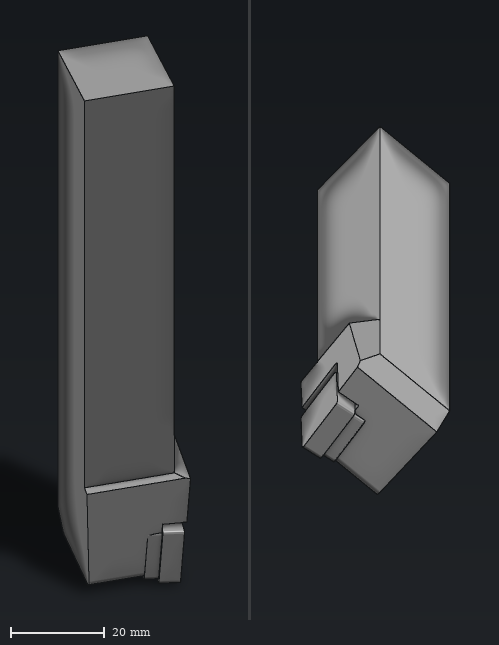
import cadquery as cq
import math

total_width = 25.0
total_length = 125.0
shank_side = 20.0

step_z = 25.4
step_slope = math.tan(math.radians(15))
step_outer_x = 21.9
tip_x = 23.5
tip_z = 1.9
tip_radius = 1.2
chamfer_top_z = 7.5
chamfer_size = 4.1

back_peak_y = 24.6
rake_slope = math.tan(math.radians(5.3))
back_peak_x = back_peak_y - shank_side
back_peak_z = step_z - step_slope * (back_peak_y - shank_side)
block_size = 3 * total_width

insert_angle = 80.0
insert_edge = 12.9
insert_thickness = 4.7
nose_radius = 0.8
nose_y = 20.0
pad_thickness = 3.1
pad_inset = 0.6
pocket_clearance = 1.2


def tilted_plane(origin, offset=0.0):
    """Plane parallel to the rake face; local X runs from the nose into the head."""
    plane = cq.Plane(
        origin=origin,
        xDir=(-1, 2 * rake_slope, 1),
        normal=(rake_slope, 1, -rake_slope),
    )
    return cq.Workplane(plane).workplane(offset=offset)


def rhombic_prism(offset, height, inset=0.0):
    """Rounded rhombus extruded along the rake normal, with its sides moved in by inset."""
    half_angle = math.radians(insert_angle / 2)
    edge = insert_edge - 2 * inset / math.sin(2 * half_angle)
    long_half = edge * math.cos(half_angle)
    short_half = edge * math.sin(half_angle)
    nose_to_center = insert_edge * math.cos(half_angle) - nose_radius / math.sin(half_angle)
    nose_center = (total_width - nose_radius, nose_y, nose_radius)
    return (
        tilted_plane(nose_center, offset)
        .center(nose_to_center, 0)
        .polyline([(-long_half, 0), (0, -short_half), (long_half, 0), (0, short_half)])
        .close()
        .extrude(height)
        .edges(cq.selectors.ParallelDirSelector(cq.Vector(rake_slope, 1, -rake_slope)))
        .fillet(nose_radius)
    )


def make_shank():
    return cq.Workplane("XY").box(shank_side, shank_side, total_length, centered=False)


def make_head():
    """Intersection of the side, end and top outlines below the tilted back plane."""
    chamfer_end_z = chamfer_top_z - chamfer_size
    step_outer_z = step_z - step_slope * (step_outer_x - shank_side)
    side = (
        cq.Workplane("XZ")
        .polyline([
            (0, step_z),
            (shank_side, step_z),
            (step_outer_x, step_outer_z),
            (tip_x, tip_z),
            (chamfer_size, chamfer_end_z),
            (0, chamfer_top_z),
        ])
        .close()
        .extrude(-block_size)
        .edges(cq.selectors.NearestToPointSelector((tip_x, block_size / 2, tip_z)))
        .fillet(tip_radius)
    )
    end = (
        cq.Workplane("YZ")
        .polyline([
            (0, 0),
            (0, step_z),
            (shank_side, step_z),
            (back_peak_y, back_peak_z),
            (back_peak_y, 0),
        ])
        .close()
        .extrude(block_size)
    )
    top = (
        cq.Workplane("XY")
        .polyline([
            (0, 0),
            (0, shank_side),
            (back_peak_x, back_peak_y),
            (total_width, back_peak_y),
            (total_width, 0),
        ])
        .close()
        .extrude(block_size)
    )
    below_back = (
        tilted_plane((back_peak_x, back_peak_y, back_peak_z))
        .rect(2 * block_size, 2 * block_size)
        .extrude(-block_size)
    )
    return side.intersect(end).intersect(top).intersect(below_back)


def make_holder():
    """Shank and head, with a raised seat pad and an open pocket for the insert."""
    upper_shank = make_shank().translate((0, 0, step_z)).intersect(make_shank())
    pad = rhombic_prism(-insert_thickness - pad_thickness, pad_thickness, pad_inset)
    pocket = rhombic_prism(-insert_thickness, 2 * insert_thickness, -pocket_clearance)
    return upper_shank.union(make_head()).union(pad).cut(pocket)


def make_insert():
    return rhombic_prism(-insert_thickness, insert_thickness)


holder = make_holder()
insert = make_insert()

result = cq.Compound.makeCompound([holder.val(), insert.val()])